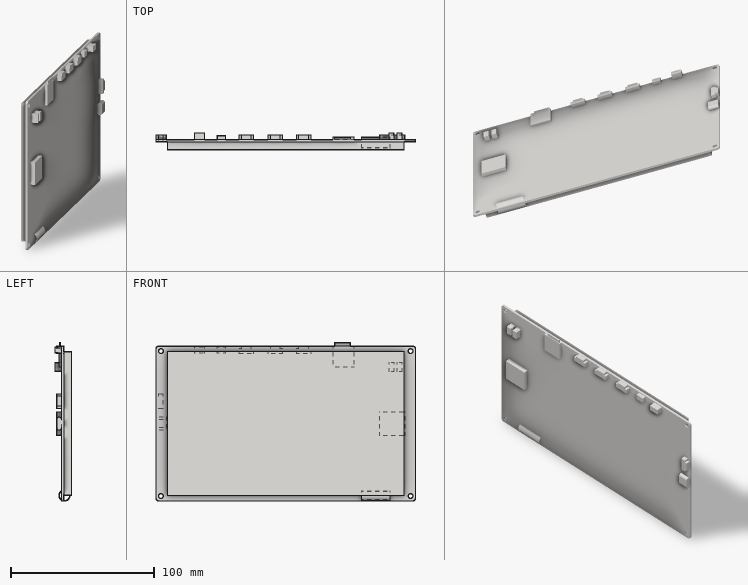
import cadquery as cq


BOARD_LENGTH = 181.0
BOARD_HEIGHT = 108.0
BOARD_THICKNESS = 1.6
BOARD_CORNER_RADIUS = 2.0
HOLE_DIAMETER = 3.2
HOLE_INSET = 3.5
BOARD_LEFT = -BOARD_LENGTH / 2
BOARD_TOP = BOARD_HEIGHT / 2

DISPLAY_SIDE_MARGIN = 8.0
DISPLAY_END_MARGIN = 3.9
DISPLAY_THICKNESS = 5.5
DISPLAY_LENGTH = BOARD_LENGTH - 2 * DISPLAY_SIDE_MARGIN
DISPLAY_HEIGHT = BOARD_HEIGHT - 2 * DISPLAY_END_MARGIN
DISPLAY_BOTTOM = -DISPLAY_HEIGHT / 2

CABLE_WIDTH = 20.0
CABLE_THICKNESS = 0.3
CABLE_RADIUS = DISPLAY_END_MARGIN
CABLE_CENTRE_X = 62.75
CABLE_CENTRE_Y = -0.5

CONNECTOR_HEIGHT = 3.3
CONNECTOR_WIDTH = 10.2
CONNECTOR_BODY_WIDTH = 6.9
CONNECTOR_DEPTH = 5.0
CONNECTOR_WING_SETBACK = 1.7
CONNECTOR_EDGE_GAP = 0.1
TOP_CONNECTOR_CENTRES_X = (-27.5, -7.3, 12.5)
LEFT_CONNECTOR_CENTRE_Z = 15.6

USB_WIDTH = 9.0
USB_HEIGHT = 3.3
USB_DEPTH = 7.3

TALL_BLOCK_HEIGHT = 4.6
TALL_BLOCK_LENGTH = 7.2
TALL_BLOCK_DEPTH = 4.0
TALL_BLOCK_CENTRE_X = -60.1
LOW_BLOCK_HEIGHT = 2.8
LOW_BLOCK_LENGTH = 6.0
LOW_BLOCK_DEPTH = 4.0
LOW_BLOCK_CENTRE_X = -44.9
BLOCK_EDGE_GAP = 0.7

SOCKET_HEIGHT = 1.8
SOCKET_LENGTH = 14.8
SOCKET_DEPTH = 14.5
SOCKET_CENTRE_X = 40.3
CARD_WIDTH = 11.0
CARD_THICKNESS = 1.0
CARD_GAP = 0.5
CARD_OVERHANG = 2.4
CARD_INSERTION = 5.0
CARD_CENTRE_X = 39.5

MODULE_HEIGHT = 3.3
MODULE_LENGTH = 17.6
MODULE_DEPTH = 16.3
MODULE_CENTRE_X = 74.3
BUTTON_HEIGHT = 4.6
BUTTON_LENGTH = 3.6
BUTTON_DEPTH = 6.2
BUTTON_TOP_Z = 42.5
BUTTON_CENTRES_X = (73.6, 79.2)


def back_block(centre_x, length, top_z, depth, height):
    """Rectangular block standing on the back face of the board."""
    return (
        cq.Workplane("XY")
        .box(length, height, depth)
        .translate((centre_x, BOARD_THICKNESS + height / 2, top_z - depth / 2))
    )


def circuit_board():
    hole_pitch_x = BOARD_LENGTH - 2 * HOLE_INSET
    hole_pitch_z = BOARD_HEIGHT - 2 * HOLE_INSET
    return (
        cq.Workplane("XZ")
        .rect(BOARD_LENGTH, BOARD_HEIGHT)
        .extrude(-BOARD_THICKNESS)
        .edges("|Y")
        .fillet(BOARD_CORNER_RADIUS)
        .faces("<Y")
        .workplane(origin=(0, 0, 0))
        .rect(hole_pitch_x, hole_pitch_z, forConstruction=True)
        .vertices()
        .hole(HOLE_DIAMETER)
    )


def display():
    return cq.Workplane("XZ").rect(DISPLAY_LENGTH, DISPLAY_HEIGHT).extrude(DISPLAY_THICKNESS)


def flexible_cable():
    """Ring-shaped sheet whose upper front part merges into the display."""
    return (
        cq.Workplane("YZ", origin=(CABLE_CENTRE_X, 0, 0))
        .center(CABLE_CENTRE_Y, DISPLAY_BOTTOM)
        .circle(CABLE_RADIUS)
        .circle(CABLE_RADIUS - CABLE_THICKNESS)
        .extrude(CABLE_WIDTH / 2, both=True)
    )


def top_connector(centre_x):
    """Winged connector whose body sits just inside the top edge of the board."""
    front_z = BOARD_TOP - CONNECTOR_EDGE_GAP
    body = back_block(centre_x, CONNECTOR_BODY_WIDTH, front_z, CONNECTOR_DEPTH, CONNECTOR_HEIGHT)
    wings = back_block(
        centre_x,
        CONNECTOR_WIDTH,
        front_z - CONNECTOR_WING_SETBACK,
        CONNECTOR_DEPTH - CONNECTOR_WING_SETBACK,
        CONNECTOR_HEIGHT,
    )
    return body.union(wings)


def left_connector():
    """The same winged connector, turned to face the left edge of the board."""
    return (
        top_connector(0)
        .translate((0, 0, -BOARD_TOP))
        .rotate((0, 0, 0), (0, 1, 0), -90)
        .translate((BOARD_LEFT, 0, LEFT_CONNECTOR_CENTRE_Z))
    )


def usb_socket():
    """Shell with fully rounded ends."""
    return (
        cq.Workplane("YZ", origin=(BOARD_LEFT, BOARD_THICKNESS + USB_HEIGHT / 2, 0))
        .slot2D(USB_WIDTH, USB_HEIGHT, 90)
        .extrude(USB_DEPTH)
    )


def memory_card_socket():
    socket = back_block(SOCKET_CENTRE_X, SOCKET_LENGTH, BOARD_TOP, SOCKET_DEPTH, SOCKET_HEIGHT)
    card = back_block(
        CARD_CENTRE_X,
        CARD_WIDTH,
        BOARD_TOP + CARD_OVERHANG,
        CARD_OVERHANG + CARD_INSERTION,
        CARD_THICKNESS,
    )
    return socket.union(card.translate((0, CARD_GAP, 0)))


result = circuit_board().union(display()).union(flexible_cable())

for connector_x in TOP_CONNECTOR_CENTRES_X:
    result = result.union(top_connector(connector_x))
result = result.union(left_connector())
result = result.union(usb_socket())

block_top = BOARD_TOP - BLOCK_EDGE_GAP
result = result.union(
    back_block(TALL_BLOCK_CENTRE_X, TALL_BLOCK_LENGTH, block_top, TALL_BLOCK_DEPTH, TALL_BLOCK_HEIGHT)
)
result = result.union(
    back_block(LOW_BLOCK_CENTRE_X, LOW_BLOCK_LENGTH, block_top, LOW_BLOCK_DEPTH, LOW_BLOCK_HEIGHT)
)

result = result.union(memory_card_socket())

result = result.union(
    back_block(MODULE_CENTRE_X, MODULE_LENGTH, MODULE_DEPTH / 2, MODULE_DEPTH, MODULE_HEIGHT)
)
for button_x in BUTTON_CENTRES_X:
    result = result.union(
        back_block(button_x, BUTTON_LENGTH, BUTTON_TOP_Z, BUTTON_DEPTH, BUTTON_HEIGHT)
    )